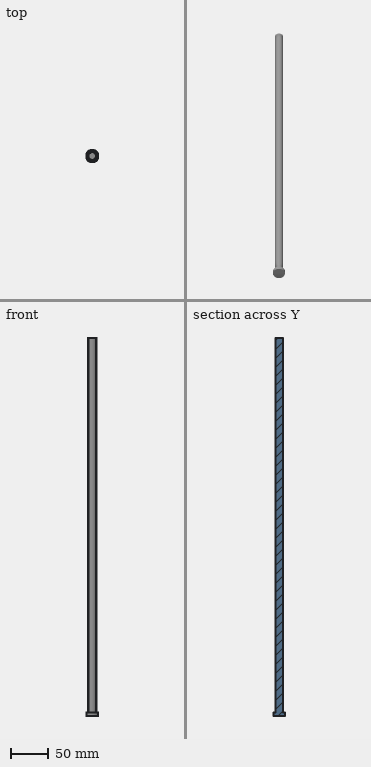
import cadquery as cq

overall_length = 505.0
head_diameter = 16.0
head_height = 5.0
shank_diameter = 11.0
shank_length = overall_length - head_height


def make_head():
    """Flat disc centred on the Z axis, with its underside at Z = 0."""
    return cq.Workplane("XY").circle(head_diameter / 2).extrude(head_height)


def add_shank(head):
    """Long cylinder rising from the centre of the head's top face."""
    return head.faces(">Z").workplane().circle(shank_diameter / 2).extrude(shank_length)


result = add_shank(make_head())